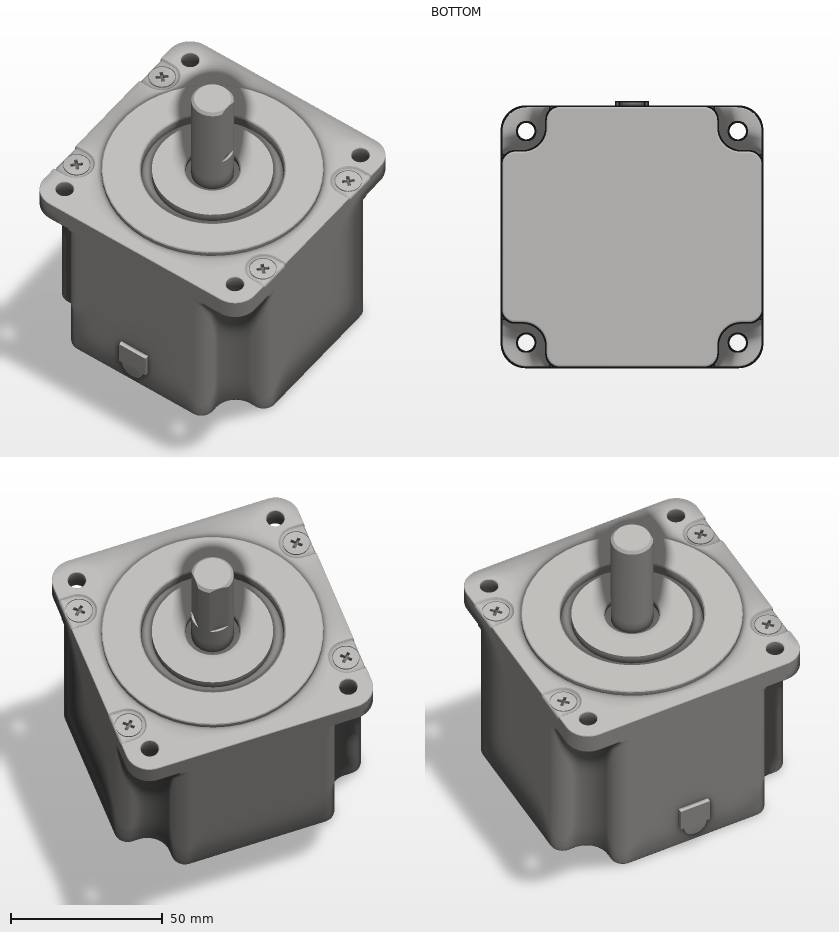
import cadquery as cq
import math

bevel_angle = 45
diagonal = math.sqrt(0.5)

width = 86.0
half_width = width / 2
flange_top = 65.9
flange_bottom = 58.1
flange_corner_radius = 8.0
flange_top_chamfer = 0.2
flange_bottom_radius = 0.8
rear_cover_height = 17.0
bottom_edge_radius = 0.9

flat_half_width = 23.8
lobe_radius = 4.5
relief_center = 36.0
relief_top_radius = 0.4
edge_round_start = 27.1
relief_overrun = 5.2

hole_position = 34.8
hole_diameter = 6.0
hole_chamfer = 0.2

pilot_diameter = 73.0
pilot_top = 67.8
pilot_chamfer = 0.3
groove_rim_diameter = 47.6
groove_inner_diameter = 40.0
groove_depth = 3.4
groove_wall_lean = 0.4
disc_drop = 0.3
bore_diameter = 18.0
bore_depth = 2.1
rim_chamfer = 0.4
disc_top = pilot_top - disc_drop

shaft_top = 103.0
shaft_diameter = 14.0
shaft_chamfer = 0.9
shaft_flat_offset = 6.2
shaft_flat_bottom = 78.1

screw_x = 38.1
screw_y = 23.7
seat_x = 38.4
seat_radius = 5.8
seat_depth = 0.5
seat_floor = flange_top - seat_depth
seat_edge_radius = 1.0
head_radius = 4.3
head_height = 0.1
head_gap = 0.3
head_gap_depth = 0.4
cross_length = 4.2
cross_width = 1.1
cross_depth = 1.5

outlet_width = 10.8
outlet_shoulder = 8.7
outlet_tip_radius = 4.1
outlet_thickness = 1.5


def cylinder(diameter, bottom, top):
    return cq.Workplane("XY").workplane(offset=bottom).circle(diameter / 2).extrude(top - bottom)


def bevelled_recess(diameter, top, depth, bevel):
    """Round recess cutter whose rim carries a 45 degree bevel."""
    rim_radius = diameter / 2 + bevel
    return (
        cylinder(diameter, top - depth, top)
        .union(cq.Workplane("XY").workplane(offset=top).circle(rim_radius).extrude(-bevel, taper=bevel_angle))
    )


def corner_relief():
    """Cutter for the -X, -Y corner: two convex lobes joined by a concave arc."""
    lobe_center = flat_half_width + lobe_radius
    lobe_mid = lobe_radius * diagonal
    arc_radius = relief_center - lobe_center
    arc_mid = relief_center - arc_radius * diagonal
    face_lobe_center = half_width - lobe_radius
    outside = half_width + relief_overrun
    inner_end = flat_half_width - relief_overrun
    cutter = (
        cq.Workplane("XY")
        .moveTo(-inner_end, -half_width)
        .lineTo(-flat_half_width, -half_width)
        .threePointArc(
            (-flat_half_width - lobe_mid, -face_lobe_center - lobe_mid),
            (-lobe_center, -face_lobe_center),
        )
        .lineTo(-lobe_center, -relief_center)
        .threePointArc((-arc_mid, -arc_mid), (-relief_center, -lobe_center))
        .lineTo(-face_lobe_center, -lobe_center)
        .threePointArc(
            (-face_lobe_center - lobe_mid, -flat_half_width - lobe_mid),
            (-half_width, -flat_half_width),
        )
        .lineTo(-half_width, -inner_end)
        .lineTo(-outside, -inner_end)
        .lineTo(-outside, -outside)
        .lineTo(-inner_end, -outside)
        .close()
        .extrude(flange_bottom)
    )
    wall_corner = -half_width - relief_overrun / 2
    wall_edges = cq.selectors.BoxSelector((wall_corner, wall_corner, 0), (0, 0, flange_top))
    return cutter.faces(">Z").edges(wall_edges).fillet(relief_top_radius)


def housing():
    square = cq.Workplane("XY").rect(width, width).extrude(flange_top)
    square = square.edges("|Z").fillet(flange_corner_radius)

    slab = square.intersect(
        cq.Workplane("XY").workplane(offset=flange_bottom).rect(width, width).extrude(flange_top))
    edge_waste = slab.cut(slab.faces("<Z").edges().fillet(flange_bottom_radius))
    corner_size = half_width - edge_round_start
    corner_center = (half_width + edge_round_start) / 2
    corner_box = (
        cq.Workplane("XY").center(-corner_center, -corner_center)
        .rect(corner_size, corner_size).extrude(flange_top)
    )
    corner_cutter = corner_relief().union(edge_waste.intersect(corner_box))

    body = square.faces(">Z").chamfer(flange_top_chamfer)
    for quarter in range(4):
        body = body.cut(corner_cutter.rotate((0, 0, 0), (0, 0, 1), 90 * quarter))
    return body.faces("<Z").edges().fillet(bottom_edge_radius)


def mounting_hole():
    hole = bevelled_recess(hole_diameter, flange_top, flange_top - flange_bottom, hole_chamfer)
    return hole.translate((hole_position, hole_position, 0))


def pilot():
    """Boss on the flange, and the cutter for its groove, which leaves a slightly lowered central disc."""
    boss = cylinder(pilot_diameter, flange_bottom, pilot_top).faces(">Z").chamfer(pilot_chamfer)
    floor_z = pilot_top - groove_depth
    rim_radius = groove_rim_diameter / 2
    groove = (
        cq.Workplane("XZ")
        .moveTo(0, floor_z)
        .lineTo(rim_radius - groove_wall_lean, floor_z)
        .lineTo(rim_radius, pilot_top - rim_chamfer)
        .lineTo(rim_radius + rim_chamfer, pilot_top)
        .lineTo(0, pilot_top)
        .close()
        .revolve()
    )
    return boss, groove.cut(cylinder(groove_inner_diameter, floor_z, disc_top))


def shaft():
    """Round shaft with flats on its +X and +Y sides."""
    pin = cylinder(shaft_diameter, flange_bottom, shaft_top).faces(">Z").chamfer(shaft_chamfer)
    flat_length = shaft_top - shaft_flat_bottom
    shift = shaft_flat_offset + shaft_diameter / 2
    for x, y in ((1, 0), (0, 1)):
        pin = pin.cut(
            cq.Workplane("XY").workplane(offset=shaft_flat_bottom)
            .center(x * shift, y * shift).rect(shaft_diameter, shaft_diameter).extrude(flat_length))
    return pin


def screw_seat():
    """Cutter for the +X, +Y seat: a slot with a bevelled wall whose floor rounds over at the side face."""
    rim_radius = seat_radius + seat_depth
    reach = 2 * (half_width - seat_x) + seat_radius
    slot = (
        cq.Workplane("XY").workplane(offset=flange_top)
        .center(seat_x + reach / 2, screw_y)
        .slot2D(reach + 2 * rim_radius, 2 * rim_radius)
        .extrude(-seat_depth, taper=bevel_angle)
    )
    corner = seat_floor - seat_edge_radius
    arc_rise = seat_edge_radius * diagonal
    edge_round = (
        cq.Workplane("XZ").workplane(offset=-screw_y)
        .moveTo(half_width, corner)
        .threePointArc(
            (half_width - seat_edge_radius + arc_rise, corner + arc_rise),
            (half_width - seat_edge_radius, seat_floor),
        )
        .lineTo(half_width, seat_floor)
        .close()
        .extrude(seat_radius, both=True)
    )
    return slot.union(edge_round)


def head_clearance():
    """Shallow round recess that leaves a ring groove around the screw head."""
    recess = cylinder(2 * (head_radius + head_gap), seat_floor - head_gap_depth, seat_floor)
    return recess.translate((screw_x, screw_y, 0))


def screw_head():
    head = cylinder(2 * head_radius, seat_floor - seat_edge_radius, seat_floor + head_height)
    return head.translate((screw_x, screw_y, 0))


def cross_recess():
    top = seat_floor + head_height
    bars = cq.Workplane("XY").workplane(offset=top)
    recess = bars.rect(cross_length, cross_width).extrude(-cross_depth).union(
        bars.rect(cross_width, cross_length).extrude(-cross_depth))
    return recess.rotate((0, 0, 0), (0, 0, 1), 45).translate((screw_x, screw_y, 0))


def on_all_corners(feature):
    """Copies of a +X, +Y feature mirrored into the four corners."""
    left = feature.mirror("YZ")
    return [feature, left, feature.mirror("XZ"), left.mirror("XZ")]


def cable_outlet():
    return (
        cq.Workplane("XZ").workplane(offset=half_width)
        .moveTo(-outlet_width / 2, rear_cover_height)
        .lineTo(-outlet_width / 2, outlet_shoulder)
        .lineTo(-outlet_tip_radius, outlet_shoulder)
        .threePointArc((0, outlet_shoulder - outlet_tip_radius), (outlet_tip_radius, outlet_shoulder))
        .lineTo(outlet_width / 2, outlet_shoulder)
        .lineTo(outlet_width / 2, rear_cover_height)
        .close()
        .extrude(outlet_thickness)
    )


boss, groove = pilot()
result = housing().union(boss)

for feature in (mounting_hole(), screw_seat(), head_clearance()):
    for cutter in on_all_corners(feature):
        result = result.cut(cutter)
for head in on_all_corners(screw_head()):
    result = result.union(head)
for recess in on_all_corners(cross_recess()):
    result = result.cut(recess)

result = result.cut(groove)
result = result.cut(bevelled_recess(bore_diameter, disc_top, bore_depth, rim_chamfer))
result = result.union(shaft()).union(cable_outlet())